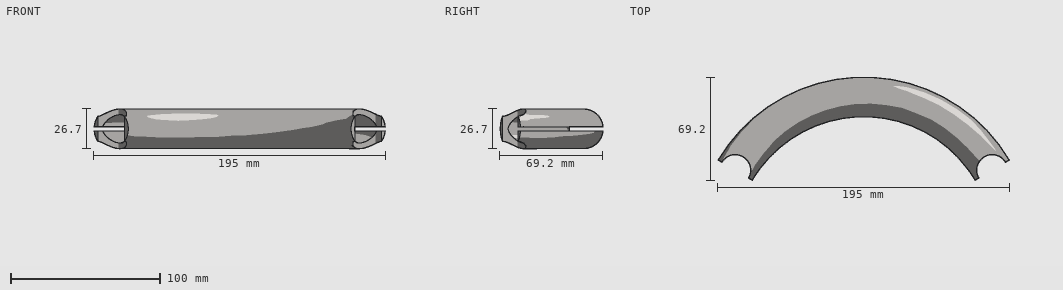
import cadquery as cq
import math

bend_radius = 100.0
overall_length = 195
pipe_radius = 13.35
wall = 3.9
bore_radius = pipe_radius - wall
slot_width = 2.7
notch_radius = 10.3

lip_radius = bend_radius + math.sqrt(pipe_radius**2 - (slot_width / 2) ** 2)
half_angle = math.degrees(math.asin(overall_length / 2 / lip_radius))


def bent_rod(radius):
    """Solid round rod following the bend, symmetric about the YZ plane."""
    rod = (
        cq.Workplane("XZ")
        .center(bend_radius, 0)
        .circle(radius)
        .revolve(2 * half_angle, (-bend_radius, 0), (-bend_radius, 1))
    )
    return rod.rotate((0, 0, 0), (0, 0, 1), 90 - half_angle)


def outer_slot():
    """Flat ring that opens the outer wall along the whole bend."""
    ring_outer = bend_radius + 2 * pipe_radius
    return (
        cq.Workplane("XY")
        .circle(ring_outer)
        .circle(bend_radius)
        .extrude(slot_width / 2, both=True)
    )


def end_notches():
    """Vertical cylinders centred on the pipe axis at both ends."""
    end_x = bend_radius * math.sin(math.radians(half_angle))
    end_y = bend_radius * math.cos(math.radians(half_angle))
    return (
        cq.Workplane("XY")
        .pushPoints([(-end_x, end_y), (end_x, end_y)])
        .circle(notch_radius)
        .extrude(2 * pipe_radius, both=True)
    )


pipe = bent_rod(pipe_radius).cut(bent_rod(bore_radius))
result = pipe.cut(outer_slot()).cut(end_notches())